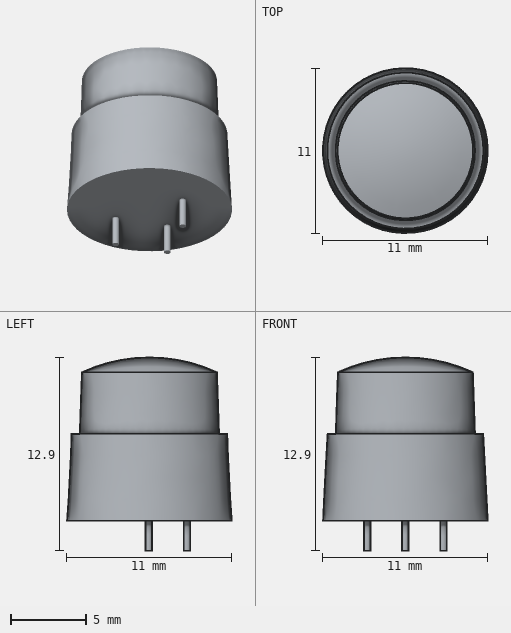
import cadquery as cq
import math

HOUSING_BASE_DIAMETER = 11.0
HOUSING_HEIGHT = 5.8
HOUSING_DRAFT_DEG = 3.0

BUTTON_BASE_DIAMETER = 9.3
BUTTON_HEIGHT = 4.1
BUTTON_DRAFT_DEG = 2.0
DOME_HEIGHT = 1.0

PIN_DIAMETER = 0.45
PIN_LENGTH = 2.0
PIN_PITCH = 2.54
PIN_ROW_Y = 0.04

housing_base_radius = HOUSING_BASE_DIAMETER / 2
housing_top_radius = housing_base_radius - HOUSING_HEIGHT * math.tan(math.radians(HOUSING_DRAFT_DEG))
button_base_radius = BUTTON_BASE_DIAMETER / 2
button_top_radius = button_base_radius - BUTTON_HEIGHT * math.tan(math.radians(BUTTON_DRAFT_DEG))
button_top_z = HOUSING_HEIGHT + BUTTON_HEIGHT

pin_positions = [
    (-PIN_PITCH, PIN_ROW_Y),
    (0, PIN_ROW_Y - PIN_PITCH),
    (PIN_PITCH, PIN_ROW_Y),
]


def make_body():
    """Housing, button and spherical dome, revolved about Z as one profile."""
    dome_radius = (button_top_radius**2 + DOME_HEIGHT**2) / (2 * DOME_HEIGHT)
    dome_center_z = button_top_z + DOME_HEIGHT - dome_radius
    mid_radius = button_top_radius / 2
    mid_z = dome_center_z + math.sqrt(dome_radius**2 - mid_radius**2)
    return (
        cq.Workplane("XZ")
        .lineTo(housing_base_radius, 0)
        .lineTo(housing_top_radius, HOUSING_HEIGHT)
        .lineTo(button_base_radius, HOUSING_HEIGHT)
        .lineTo(button_top_radius, button_top_z)
        .threePointArc((mid_radius, mid_z), (0, button_top_z + DOME_HEIGHT))
        .close()
        .revolve(360, (0, 0, 0), (0, 1, 0))
    )


def make_pins():
    """Three straight pins hanging from the underside of the housing."""
    return cq.Workplane("XY").pushPoints(pin_positions).circle(PIN_DIAMETER / 2).extrude(-PIN_LENGTH)


result = make_body().union(make_pins())